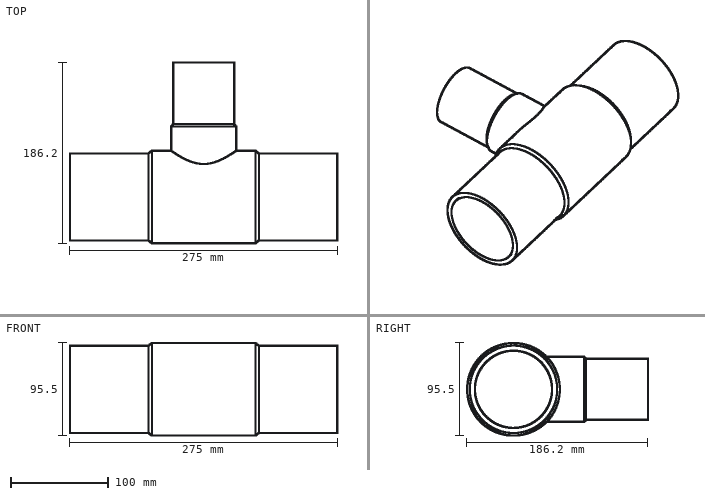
import cadquery as cq

run_length = 275.0
run_diameter = 90.0
run_bore = 79.2

body_length = 113.3
body_diameter = 95.5
body_chamfer_length = 3.3
body_chamfer_depth = (body_diameter - run_diameter) / 2

overall_depth = 186.2
branch_end = overall_depth - body_diameter / 2
branch_diameter = 63.0
branch_bore = run_bore * branch_diameter / run_diameter
collar_diameter = 67.0
collar_end = 74.8
collar_chamfer_length = 2.5


def run_cylinder(diameter, length):
    """Cylinder on the X axis, centred on the origin."""
    return cq.Workplane("YZ").circle(diameter / 2).extrude(length / 2, both=True)


def branch_cylinder(diameter, end):
    """Cylinder on the Y axis, from the run axis out to y = end."""
    return cq.Workplane("XZ").circle(diameter / 2).extrude(-end)


def make_body():
    """Revolved body whose ends taper down to the run pipe."""
    half_length = body_length / 2
    shoulder = half_length - body_chamfer_length
    radius = body_diameter / 2
    end_radius = radius - body_chamfer_depth
    profile = (
        cq.Workplane("XY")
        .moveTo(-half_length, 0)
        .lineTo(-half_length, end_radius)
        .lineTo(-shoulder, radius)
        .lineTo(shoulder, radius)
        .lineTo(half_length, end_radius)
        .lineTo(half_length, 0)
        .close()
    )
    return profile.revolve(360, (0, 0, 0), (1, 0, 0))


def make_collar():
    """Revolved branch collar whose outer rim tapers down to the branch pipe."""
    profile = (
        cq.Workplane("XY")
        .lineTo(collar_diameter / 2, 0)
        .lineTo(collar_diameter / 2, collar_end - collar_chamfer_length)
        .lineTo(branch_diameter / 2, collar_end)
        .lineTo(0, collar_end)
        .close()
    )
    return profile.revolve(360, (0, 0, 0), (0, 1, 0))


outside = (
    run_cylinder(run_diameter, run_length)
    .union(make_body())
    .union(make_collar())
    .union(branch_cylinder(branch_diameter, branch_end))
)

result = (
    outside
    .cut(run_cylinder(run_bore, run_length))
    .cut(branch_cylinder(branch_bore, branch_end))
)